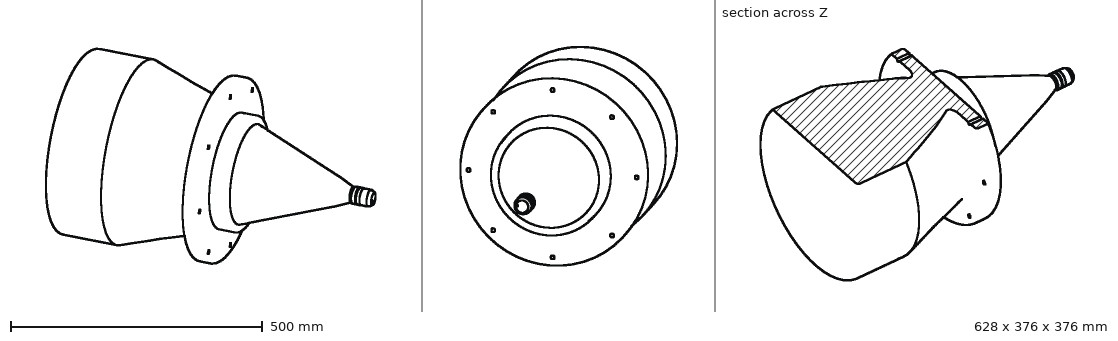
import cadquery as cq
import math

overall_length = 628.0
drum_end = 119.0
waist_start = 277.0
waist_end = 280.5
flange_front = 291.0
flange_back = 322.0
collar_end = 359.5
cone_break = 551.0
neck_start = 580.5
neck_end = 584.5
groove_start = 593.0
groove_end = 595.0
tip_step = 602.5
tip_shoulder = 617.5
bevel_break = 621.5
tip_end = 626.0

drum_radius = 188.0
waist_radius = 136.0
flange_radius = drum_radius
collar_radius = 118.0
cone_base_radius = 102.0
cone_break_radius = 29.0
neck_radius = 16.0
tip_radius = 17.5
stepped_tip_radius = 17.25
bevel_break_radius = 16.0
groove_radius = 17.0
tip_end_radius = 12.5

drum_fillet = 5.5
flange_fillet = 4.5
collar_fillet = 4.0
taper_sag = 0.5
waist_fillet = flange_front - waist_end

hole_count = 8
hole_circle_radius = 170.0
hole_diameter = 7.5

pin_y = -10.0
pin_z = 1.0
pin_diameter = 2.5


def round_corner(profile, start, end, corner):
    """Add a quarter-circle corner tangent to the X and radial directions."""
    centre = (start[0] + end[0] - corner[0], start[1] + end[1] - corner[1])
    diagonal = math.sqrt(0.5)
    middle = tuple(c + (k - c) * diagonal for c, k in zip(centre, corner))
    return profile.threePointArc(middle, end)


def rising_corner(profile, x, radius, fillet):
    """Climb to a rounded front edge at axial position x."""
    start = (x, radius - fillet)
    return round_corner(profile.lineTo(*start), start, (x + fillet, radius), (x, radius))


def falling_corner(profile, x, radius, fillet):
    """Run along a cylinder to its rounded back edge at axial position x."""
    start = (x - fillet, radius)
    return round_corner(profile.lineTo(*start), start, (x, radius - fillet), (x, radius))


def make_body():
    """Revolve the half outline about the X axis."""
    profile = cq.Workplane("XY").moveTo(0, 0)

    profile = rising_corner(profile, 0, drum_radius, drum_fillet)
    taper_middle = ((drum_end + waist_start) / 2, (drum_radius + waist_radius) / 2 - taper_sag)
    profile = profile.lineTo(drum_end, drum_radius)
    profile = profile.threePointArc(taper_middle, (waist_start, waist_radius))

    waist_blend_end = (flange_front, waist_radius + waist_fillet)
    profile = profile.lineTo(waist_end, waist_radius)
    profile = round_corner(profile, (waist_end, waist_radius), waist_blend_end, (flange_front, waist_radius))

    profile = rising_corner(profile, flange_front, flange_radius, flange_fillet)
    profile = falling_corner(profile, flange_back, flange_radius, flange_fillet)
    profile = profile.lineTo(flange_back, collar_radius)
    profile = falling_corner(profile, collar_end, collar_radius, collar_fillet)

    profile = (
        profile.lineTo(collar_end, cone_base_radius)
        .lineTo(cone_break, cone_break_radius)
        .lineTo(neck_start, neck_radius)
        .lineTo(neck_end, neck_radius)
        .lineTo(neck_end, tip_radius)
        .lineTo(groove_start, tip_radius)
        .lineTo(groove_start, groove_radius)
        .lineTo(groove_end, groove_radius)
        .lineTo(groove_end, tip_radius)
        .lineTo(tip_step, tip_radius)
        .lineTo(tip_step, stepped_tip_radius)
        .lineTo(tip_shoulder, stepped_tip_radius)
        .lineTo(bevel_break, bevel_break_radius)
        .lineTo(tip_end, tip_end_radius)
        .lineTo(tip_end, 0)
    )
    return profile.close().revolve(360, (0, 0, 0), (1, 0, 0))


def make_end_pin():
    """Small off-centre pin on the end of the tip."""
    return (
        cq.Workplane("YZ", origin=(tip_end, 0, 0))
        .center(pin_y, pin_z)
        .circle(pin_diameter / 2)
        .extrude(overall_length - tip_end)
    )


def make_flange_holes():
    """Through holes evenly spaced around the flange."""
    return (
        cq.Workplane("YZ", origin=(flange_front, 0, 0))
        .polarArray(hole_circle_radius, 0, 360, hole_count)
        .circle(hole_diameter / 2)
        .extrude(flange_back - flange_front)
    )


result = make_body().union(make_end_pin()).cut(make_flange_holes())